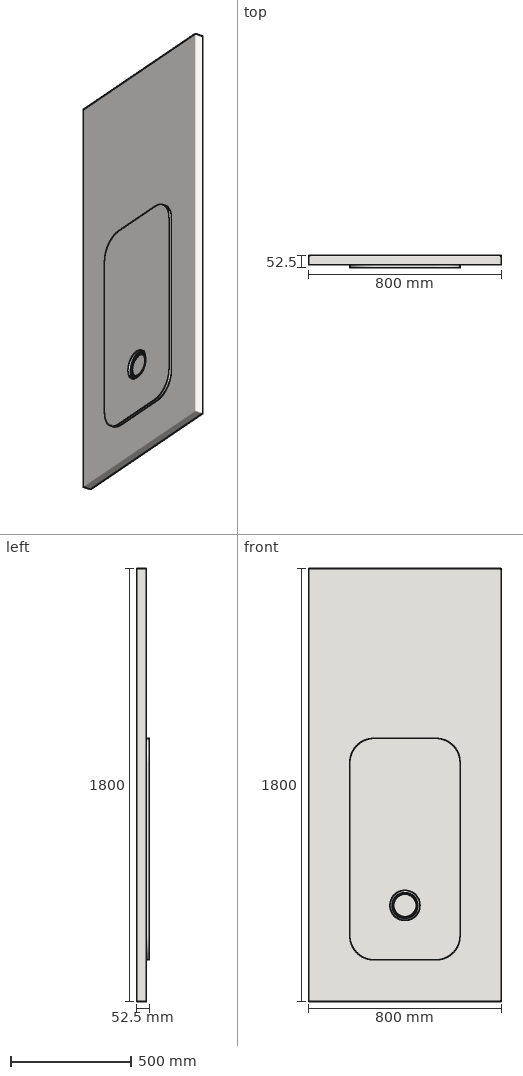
import cadquery as cq

TRAY_WIDTH = 800.0
TRAY_HEIGHT = 1800.0
OVERALL_DEPTH = 52.46
TRAY_DEPTH = 40.0
CORNER_RADIUS = 5.0
FRONT_EDGE_RADIUS = 2.8
RIM_RADIUS = 5.0

PAD_WIDTH = 458.0
PAD_HEIGHT = 920.0
PAD_CORNER_RADIUS = 100.0
PAD_CENTER_Z = -266.0
PAD_DEPTH = OVERALL_DEPTH - TRAY_DEPTH

DRAIN_CENTER_Z = -500.0
RECESS_RADIUS = 62.5
RECESS_DEPTH = 20.0
PLUG_FRONT_RADIUS = 53.0
PLUG_FRONT_DEPTH = 8.0
DISH_RADIUS = 47.0
DISH_FLOOR_DEPTH = 12.0

PAD_FRONT_Y = -PAD_DEPTH
TRAY_FRONT_Y = 0.0


def front_plane(y, z=0.0):
    """Plane facing -Y at depth y, centred on height z; positive extrusion goes toward -Y."""
    return cq.Workplane("XZ", origin=(0, y, z))


def drain_recess():
    """Round pocket that holds the drain plug."""
    return front_plane(PAD_FRONT_Y, DRAIN_CENTER_Z).circle(RECESS_RADIUS).extrude(-RECESS_DEPTH)


def make_tray():
    """Slab with rounded corners and front and back edges, and the inner end of the drain recess."""
    slab = front_plane(TRAY_FRONT_Y).rect(TRAY_WIDTH, TRAY_HEIGHT).extrude(-TRAY_DEPTH)
    slab = slab.edges("|Y").fillet(CORNER_RADIUS)
    slab = slab.faces("<Y").edges().fillet(FRONT_EDGE_RADIUS)
    slab = slab.faces(">Y").edges().fillet(RIM_RADIUS)
    return slab.cut(drain_recess())


def make_pad():
    """Rounded plate on the front of the tray, with the drain recess through it."""
    plate = front_plane(TRAY_FRONT_Y, PAD_CENTER_Z).rect(PAD_WIDTH, PAD_HEIGHT).extrude(PAD_DEPTH)
    return plate.edges("|Y").fillet(PAD_CORNER_RADIUS).cut(drain_recess())


def make_drain_plug():
    """Tapered plug on the recess floor, with a flat-bottomed round dish in its front face."""
    half_profile = [
        (0, RECESS_DEPTH),
        (RECESS_RADIUS, RECESS_DEPTH),
        (PLUG_FRONT_RADIUS, PLUG_FRONT_DEPTH),
        (DISH_RADIUS, PLUG_FRONT_DEPTH),
        (DISH_RADIUS, DISH_FLOOR_DEPTH),
        (0, DISH_FLOOR_DEPTH),
    ]
    axis_plane = cq.Workplane("XY", origin=(0, PAD_FRONT_Y, DRAIN_CENTER_Z))
    profile = axis_plane.polyline(half_profile).close()
    return profile.revolve(360, (0, 0, 0), (0, 1, 0))


tray = make_tray()
pad = make_pad()
drain_plug = make_drain_plug()

result = cq.Compound.makeCompound([tray.val(), pad.val(), drain_plug.val()])